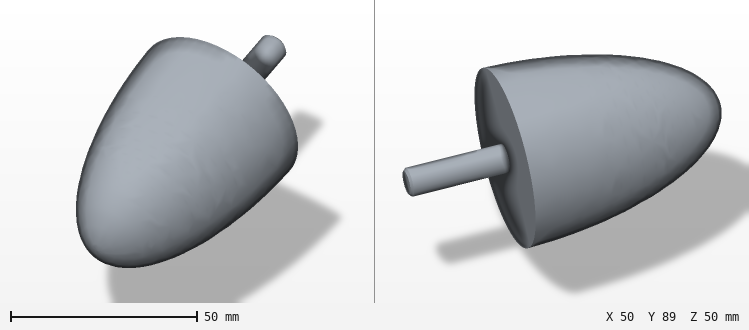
import cadquery as cq
import math


BASE_DIAMETER = 50.0
BUFFER_LENGTH = 61.0
ELLIPSE_CENTER_Y = 3.4

STUD_DIAMETER = 8.0
STUD_LENGTH = 28.0
STUD_CHAMFER = 0.7


def make_buffer():
    """Bullet-shaped buffer: an ellipse arc turned about the Y axis."""
    base_radius = BASE_DIAMETER / 2
    long_radius = BUFFER_LENGTH + ELLIPSE_CENTER_Y
    setback_angle = math.asin(ELLIPSE_CENTER_Y / long_radius)
    cross_radius = base_radius / math.cos(setback_angle)
    tip_angle = 270
    base_angle = 360 - math.degrees(setback_angle)
    return (
        cq.Workplane("XY")
        .center(0, ELLIPSE_CENTER_Y)
        .ellipseArc(cross_radius, long_radius, tip_angle, base_angle, startAtCurrent=False)
        .lineTo(0, -ELLIPSE_CENTER_Y)
        .close()
        .revolve(360, (0, 0, 0), (0, 1, 0))
    )


def make_stud():
    """Plain stud seated on the base, chamfered at its free end."""
    return (
        cq.Workplane("XZ")
        .circle(STUD_DIAMETER / 2)
        .extrude(-STUD_LENGTH)
        .faces(">Y")
        .chamfer(STUD_CHAMFER)
    )


buffer = make_buffer()
stud = make_stud()

result = cq.Compound.makeCompound([buffer.val(), stud.val()])